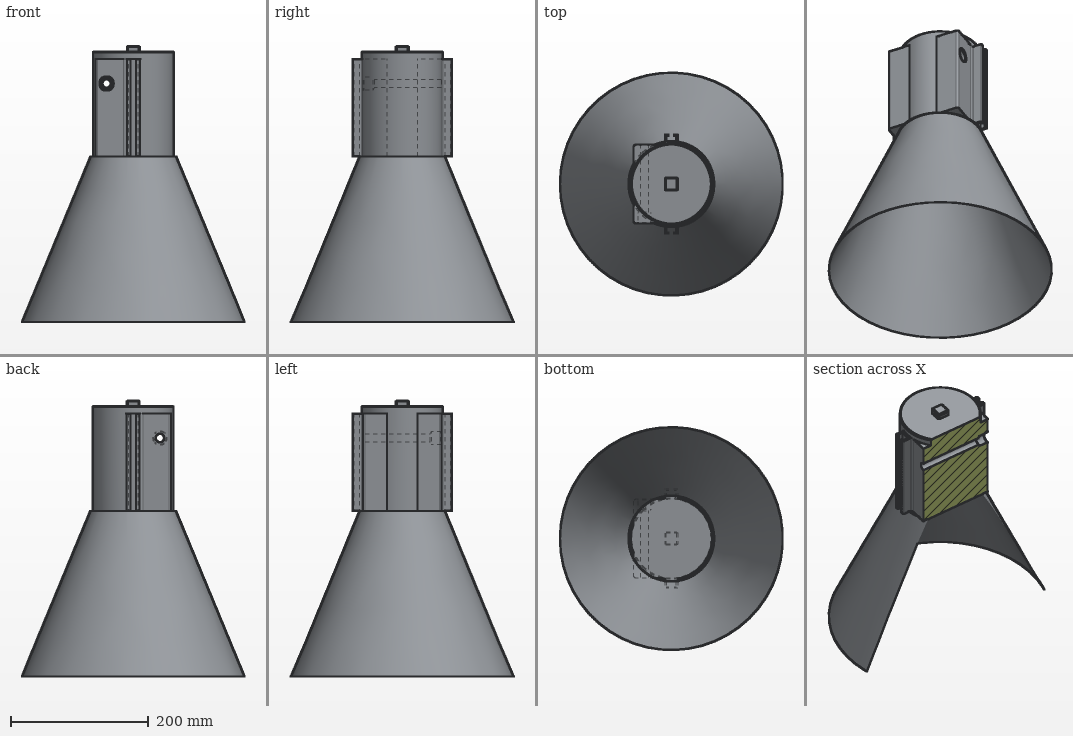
import cadquery as cq
import math

total_height = 401.5

shade_height = 241.0
shade_base_radius = 162.25
shade_top_radius = 125.0 / 2
shade_thickness = 0.5

housing_radius = 118.0 / 2
housing_height = 141.5
housing_top = shade_height + housing_height
box_left = -54.8
box_half_width = 57.2
box_corner_radius = 3.0

entry_x = -39.0
entry_z = 347.0
entry_mouth_diameter = 21.0
entry_thread_diameter = 18.38
entry_thread_depth = 15.0
entry_through_diameter = 12.0
entry_drill_angle = 118.0

rail_width = 19.0
rail_reach = 72.0
rail_floor = 62.0
rail_wall = 2.5
rail_lip = 1.8
rail_edge_radius = 1.0
rail_root_radius = 1.0
rail_slot_width = 8.0

cap_radius = 118.0 / 2
stud_height = 8.0
cap_height = total_height - stud_height - housing_top
cap_chamfer = 1.5
stud_width = 19.0
stud_chamfer = 1.7


def make_shade():
    """Thin-walled cone, open at the base and closed by a flat top."""
    roof_underside = shade_height - shade_thickness
    outline = [
        (0, shade_height),
        (-shade_top_radius, shade_height),
        (-shade_base_radius, 0),
        (shade_thickness - shade_base_radius, 0),
        (shade_thickness - shade_top_radius, roof_underside),
        (0, roof_underside),
    ]
    return cq.Workplane("XZ").polyline(outline).close().revolve(360, (0, 0), (0, 1))


def make_housing():
    """Round housing merged with the box that squares off its -X side."""
    base = cq.Workplane("XY").workplane(offset=shade_height)
    barrel = base.circle(housing_radius).extrude(housing_height)
    box = (
        base.center(box_left / 2, 0)
        .rect(-box_left, 2 * box_half_width)
        .extrude(housing_height)
        .edges("|Z and <X")
        .fillet(box_corner_radius)
    )
    return barrel.union(box)


def make_rail():
    """C-shaped rail on the -Y side, its slot facing outward."""
    base = cq.Workplane("XY").workplane(offset=shade_height)

    def strip(width, y_inner, y_outer):
        middle = -(y_inner + y_outer) / 2
        return base.center(0, middle).rect(width, y_outer - y_inner).extrude(housing_height)

    channel = strip(rail_width - 2 * rail_wall, rail_floor, rail_reach - rail_lip)
    slot = strip(rail_slot_width, rail_floor, rail_reach)
    block = strip(rail_width, 0, rail_reach).edges("|Z and <Y").fillet(rail_edge_radius)
    return block.cut(channel).cut(slot)


def make_cap():
    """Round cap with the square stud on top."""
    cap = (
        cq.Workplane("XY")
        .workplane(offset=housing_top)
        .circle(cap_radius)
        .extrude(cap_height)
        .faces(">Z")
        .chamfer(cap_chamfer)
    )
    stud = (
        cq.Workplane("XY")
        .workplane(offset=housing_top + cap_height)
        .rect(stud_width, stud_width)
        .extrude(stud_height)
        .edges("|Z or >Z")
        .chamfer(stud_chamfer)
    )
    return cap.union(stud)


def make_body():
    """Housing with a rail on each side, blended where the rails meet the barrel."""
    rail = make_rail()
    body = make_housing().union(rail).union(rail.mirror("XZ"))
    root_y = math.sqrt(housing_radius**2 - (rail_width / 2) ** 2)
    middle_z = shade_height + housing_height / 2
    for side_x in (-1, 1):
        for side_y in (-1, 1):
            root = (side_x * rail_width / 2, side_y * root_y, middle_z)
            body = body.edges(cq.selectors.NearestToPointSelector(root)).fillet(rail_root_radius)
    return body


def make_cable_entry():
    """Cutter for the countersunk thread bore with a drill-point taper to a through hole along Y."""
    mouth_radius = entry_mouth_diameter / 2
    thread_radius = entry_thread_diameter / 2
    through_radius = entry_through_diameter / 2
    thread_end = entry_thread_depth - box_half_width
    taper_length = (thread_radius - through_radius) / math.tan(math.radians(entry_drill_angle / 2))
    outline = [
        (0, -box_half_width),
        (mouth_radius, -box_half_width),
        (thread_radius, mouth_radius - thread_radius - box_half_width),
        (thread_radius, thread_end),
        (through_radius, thread_end + taper_length),
        (through_radius, box_half_width),
        (0, box_half_width),
    ]
    cutter = cq.Workplane("XY").polyline(outline).close().revolve(360, (0, 0), (0, 1))
    return cutter.translate((entry_x, 0, entry_z))


result = make_shade().union(make_body()).union(make_cap()).cut(make_cable_entry())